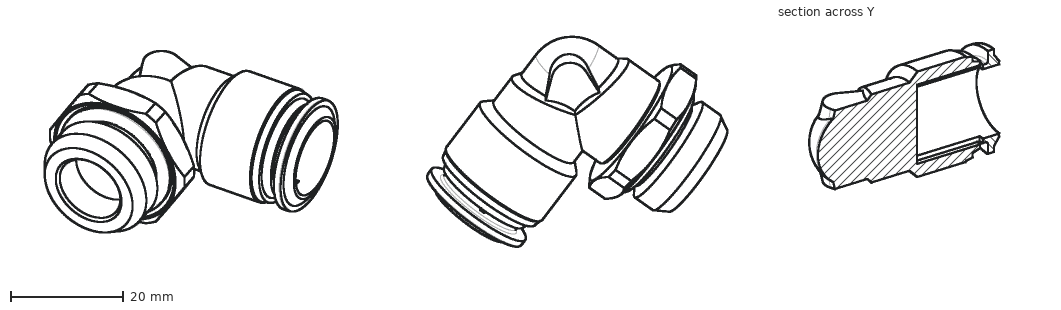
import cadquery as cq
import math


BEND_RADIUS = 8.0
ARM_RADIUS = 9.0
SLEEVE_CORNER = 2.78
SLEEVE_END_TILT = 15.0
SLEEVE_CHAMFER_TILT = 12.5
SLEEVE_CHAMFER_LENGTH = 0.9

PAD_NOSE_OFFSET = 2.35
PAD_NOSE_RADIUS = 3.3
PAD_HALF_ANGLE = 23.0
PAD_DRAFT = 13.0
PAD_DEPTH = 5.0
PAD_SIDE_END = 1.5
PAD_TAIL = 4.5

HEX_ACROSS_FLATS = 25.0
HEX_CORNER_RADIUS = 13.8
HEX_FACE_RADIUS = 12.43
HEX_CHAMFER_LENGTH = 0.85
HEX_START = 13.05
HEX_END = 18.25
ARM_END_CHAMFER = 0.3

SEAT_RADIUS = 12.03
SEAT_DEPTH = 0.9
RING_RADIUS = 11.13
RING_SECTION_RADIUS = 1.23
NECK_RADIUS = 8.72
NECK_END = 20.2
STUD_RADIUS = 10.42
STUD_START = 21.3
STUD_CHAMFER_START = 25.3
STUD_END = 27.8
STUD_TIP_RADIUS = 9.0
STUD_BORE_RADIUS = 6.2
STUD_BORE_CHAMFER = 0.53
STUD_BORE_DEPTH = 6.5

SOCKET_RADIUS = 10.75
SOCKET_START = 11.5
SOCKET_SHOULDER = 13.2
SOCKET_BODY_END = 23.4
CAP_START = 23.65
CAP_RADIUS = 10.55
CAP_STEP = 25.0
CAP_STEP_RADIUS = 10.25
NOSE_RADIUS = 9.35
SOCKET_END = 26.6
SOCKET_END_RADIUS = 8.85

COLLET_RADIUS = 8.0
COLLET_BORE_RADIUS = 7.0
COLLET_START = SOCKET_SHOULDER
FLANGE_START = 28.15
FLANGE_END = 29.5
FLANGE_RADIUS = 10.5
FLANGE_EDGE_LENGTH = 0.27
FLANGE_EDGE_DROP = 0.08
FLANGE_FILLET = 0.45
COLLET_FACE_RADIUS = 9.35
COLLET_END = 30.65
COLLET_END_RADIUS = 7.7
SLOT_WIDTH = 1.0
SLOT_END = 27.1


def tube_arm():
    """Arm along +X: thick sleeve with an oblique, chamfered end, on the thin arm."""

    def oblique_section(tilt, axis_position, radius):
        """Ellipse in which a plane tilted about Z cuts a cylinder on the X axis."""
        angle = math.radians(tilt)
        plane = cq.Plane(
            origin=(axis_position, 0, 0),
            xDir=(0, 0, 1),
            normal=(math.cos(angle), -math.sin(angle), 0),
        )
        return cq.Workplane(plane).ellipse(radius, radius / math.cos(angle)).wires().val()

    end_slope = math.tan(math.radians(SLEEVE_END_TILT))
    end_position = SLEEVE_CORNER * (1 + end_slope)
    rim = oblique_section(SLEEVE_END_TILT, end_position, ARM_RADIUS)
    inner_rim = oblique_section(
        SLEEVE_CHAMFER_TILT, end_position - SLEEVE_CHAMFER_LENGTH, BEND_RADIUS
    )
    chamfer = cq.Workplane(cq.Solid.makeLoft([inner_rim, rim], True))

    sleeve_side = (
        cq.Workplane("XY")
        .polyline([
            (end_position - ARM_RADIUS * end_slope, -ARM_RADIUS),
            (SOCKET_START, -ARM_RADIUS),
            (SOCKET_START, ARM_RADIUS),
            (end_position + ARM_RADIUS * end_slope, ARM_RADIUS),
        ])
        .close()
        .extrude(ARM_RADIUS, both=True)
    )
    sleeve = cq.Workplane("YZ").circle(ARM_RADIUS).extrude(SOCKET_START).intersect(sleeve_side)
    thin_arm = cq.Workplane("YZ").circle(BEND_RADIUS).extrude(SOCKET_START)
    return thin_arm.union(chamfer).union(sleeve)


def stud_arm():
    """The tube arm turned onto -Y, lengthened to the hexagon with a chamfered end."""
    turned = tube_arm().rotate((0, 0, 0), (1, -1, 0), 180)
    extension_start = SLEEVE_CORNER + ARM_RADIUS / 2
    extension = (
        cq.Workplane("XZ", origin=(0, -extension_start, 0))
        .circle(ARM_RADIUS)
        .extrude(HEX_START - extension_start)
        .faces("<Y")
        .chamfer(ARM_END_CHAMFER)
    )
    return turned.union(extension)


def marking_pad():
    """Drafted flat pad on the +Z side of the corner, laid out along the corner diagonal."""
    half_angle = math.radians(PAD_HALF_ANGLE)
    tangent_u = -PAD_NOSE_OFFSET - PAD_NOSE_RADIUS * math.sin(half_angle)
    tangent_v = PAD_NOSE_RADIUS * math.cos(half_angle)
    side_v = tangent_v + (PAD_SIDE_END - tangent_u) * math.tan(half_angle)
    diagonal = cq.Plane(origin=(0, 0, BEND_RADIUS), xDir=(1, -1, 0), normal=(0, 0, -1))
    return (
        cq.Workplane(diagonal)
        .moveTo(tangent_u, tangent_v)
        .lineTo(PAD_SIDE_END, side_v)
        .lineTo(PAD_TAIL, 0)
        .lineTo(PAD_SIDE_END, -side_v)
        .lineTo(tangent_u, -tangent_v)
        .threePointArc((-PAD_NOSE_OFFSET - PAD_NOSE_RADIUS, 0), (tangent_u, tangent_v))
        .close()
        .extrude(PAD_DEPTH, taper=-PAD_DRAFT)
    )


def hexagon():
    """Hexagon with turned corners, chamfered faces and a conical sealing ring seat."""
    across_corners = HEX_ACROSS_FLATS / math.cos(math.pi / 6)
    prism = (
        cq.Workplane("XZ", origin=(0, -HEX_START, 0))
        .polygon(6, across_corners)
        .extrude(HEX_END - HEX_START)
    )
    turning = (
        cq.Workplane("XY")
        .polyline([
            (0, -HEX_START),
            (HEX_FACE_RADIUS, -HEX_START),
            (HEX_CORNER_RADIUS, -HEX_START - HEX_CHAMFER_LENGTH),
            (HEX_CORNER_RADIUS, -HEX_END + HEX_CHAMFER_LENGTH),
            (HEX_FACE_RADIUS, -HEX_END),
            (SEAT_RADIUS, -HEX_END),
            (SEAT_RADIUS - SEAT_DEPTH, -HEX_END + SEAT_DEPTH),
            (0, -HEX_END + SEAT_DEPTH),
        ])
        .close()
        .revolve(360, (0, 0, 0), (0, 1, 0))
    )
    return prism.intersect(turning)


def stud():
    """Stud with neck, plain thread cylinder and blind bore."""
    bore_mouth = STUD_BORE_RADIUS + STUD_BORE_CHAMFER
    return (
        cq.Workplane("XY")
        .moveTo(0, -HEX_START)
        .lineTo(NECK_RADIUS, -HEX_START)
        .lineTo(NECK_RADIUS, -NECK_END)
        .lineTo(STUD_RADIUS, -STUD_START)
        .lineTo(STUD_RADIUS, -STUD_CHAMFER_START)
        .lineTo(STUD_TIP_RADIUS, -STUD_END)
        .lineTo(bore_mouth, -STUD_END)
        .lineTo(STUD_BORE_RADIUS, -STUD_END + STUD_BORE_CHAMFER)
        .lineTo(STUD_BORE_RADIUS, -STUD_END + STUD_BORE_DEPTH)
        .lineTo(0, -STUD_END + STUD_BORE_DEPTH)
        .close()
        .revolve(360, (0, 0, 0), (0, 1, 0))
    )


def sealing_ring():
    """Round-section ring centred on the hexagon face and half sunk in its seat."""
    centre_radius = RING_RADIUS - RING_SECTION_RADIUS
    return (
        cq.Workplane("XY")
        .moveTo(centre_radius, -HEX_END)
        .circle(RING_SECTION_RADIUS)
        .revolve(360, (0, 0, 0), (0, 1, 0))
    )


def tube_socket():
    """Socket for the tube, stepped towards its mouth and bored for the collet."""
    return (
        cq.Workplane("XY")
        .polyline([
            (SOCKET_START, 0),
            (SOCKET_START, ARM_RADIUS),
            (SOCKET_SHOULDER, SOCKET_RADIUS),
            (SOCKET_BODY_END, SOCKET_RADIUS),
            (CAP_START, CAP_RADIUS),
            (CAP_STEP, CAP_STEP_RADIUS),
            (CAP_STEP, NOSE_RADIUS),
            (SOCKET_END, SOCKET_END_RADIUS),
            (SOCKET_END, COLLET_RADIUS),
            (COLLET_START, COLLET_RADIUS),
            (COLLET_START, 0),
        ])
        .close()
        .revolve(360, (0, 0, 0), (1, 0, 0))
    )


def make_housing():
    """Elbow, hexagon, stud, sealing ring and tube socket as one solid."""
    upper_pad = marking_pad()
    lower_pad = upper_pad.mirror("XY")
    return (
        cq.Workplane("XY")
        .sphere(BEND_RADIUS)
        .union(tube_arm())
        .union(stud_arm())
        .union(upper_pad)
        .union(lower_pad)
        .union(hexagon())
        .union(stud())
        .union(sealing_ring())
        .union(tube_socket())
    )


def make_collet():
    """Flanged release collet with a tube bore and two finger slots."""
    fillet_reach = FLANGE_FILLET * (1 - math.sqrt(0.5))
    blank = (
        cq.Workplane("XY")
        .moveTo(COLLET_START, COLLET_BORE_RADIUS)
        .lineTo(COLLET_START, COLLET_RADIUS)
        .lineTo(FLANGE_START - FLANGE_FILLET, COLLET_RADIUS)
        .threePointArc(
            (FLANGE_START - fillet_reach, COLLET_RADIUS + fillet_reach),
            (FLANGE_START, COLLET_RADIUS + FLANGE_FILLET),
        )
        .lineTo(FLANGE_START, FLANGE_RADIUS)
        .lineTo(FLANGE_END - FLANGE_EDGE_LENGTH, FLANGE_RADIUS)
        .lineTo(FLANGE_END, FLANGE_RADIUS - FLANGE_EDGE_DROP)
        .lineTo(FLANGE_END, COLLET_FACE_RADIUS)
        .lineTo(COLLET_END, COLLET_END_RADIUS)
        .lineTo(COLLET_END, COLLET_BORE_RADIUS)
        .close()
        .revolve(360, (0, 0, 0), (1, 0, 0))
    )
    slots = (
        cq.Workplane("XY")
        .box(SLOT_END - COLLET_START, SLOT_WIDTH, 2 * FLANGE_RADIUS)
        .translate(((COLLET_START + SLOT_END) / 2, 0, 0))
    )
    return blank.cut(slots)


housing = make_housing()
collet = make_collet()
result = cq.Compound.makeCompound([housing.val(), collet.val()])